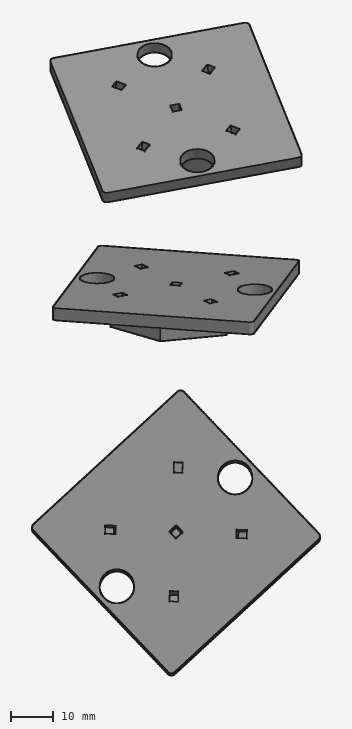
import cadquery as cq

plate_side = 48
plate_thickness = 3.0
corner_radius = 1.0

total_height = 9.0
boss_height = total_height - plate_thickness
boss_corner_diameter = 32.0

mount_diameter = 8.0
mount_spacing = 37.7

center_socket_side = 2.2
center_socket_depth = plate_thickness
socket_width = 2.0
socket_length = 2.45
socket_depth = 2.8
socket_tilt = 8.4
socket_radius = 15.25
socket_count = 4
overcut = 2.4


def make_plate():
    plate = cq.Workplane("XY").box(plate_side, plate_side, plate_thickness, centered=(True, True, False))
    return plate.edges("|Z").fillet(corner_radius)


def make_boss():
    hexagon = cq.Workplane("XY").polygon(6, boss_corner_diameter)
    return hexagon.extrude(-boss_height).rotate((0, 0, 0), (0, 0, 1), 90)


def make_mount_holes():
    centers = [(-mount_spacing / 2, 0), (mount_spacing / 2, 0)]
    return cq.Workplane("XY").pushPoints(centers).circle(mount_diameter / 2).extrude(plate_thickness)


def make_center_socket():
    top = cq.Workplane("XY", origin=(0, 0, plate_thickness))
    return top.rect(center_socket_side, center_socket_side).extrude(-center_socket_depth)


def make_tilted_socket(angle):
    """Rectangular socket that leans outward as it goes down."""
    tool_height = socket_depth + overcut
    tool = cq.Workplane("XY").box(socket_length, socket_width, tool_height, centered=(True, True, False))
    tool = tool.translate((0, 0, -socket_depth))
    tool = tool.rotate((0, 0, 0), (0, 1, 0), -socket_tilt)
    tool = tool.translate((socket_radius, 0, plate_thickness))
    return tool.rotate((0, 0, 0), (0, 0, 1), angle)


result = make_plate().union(make_boss()).cut(make_mount_holes()).cut(make_center_socket())
for index in range(socket_count):
    result = result.cut(make_tilted_socket((index + 0.5) * 360 / socket_count))